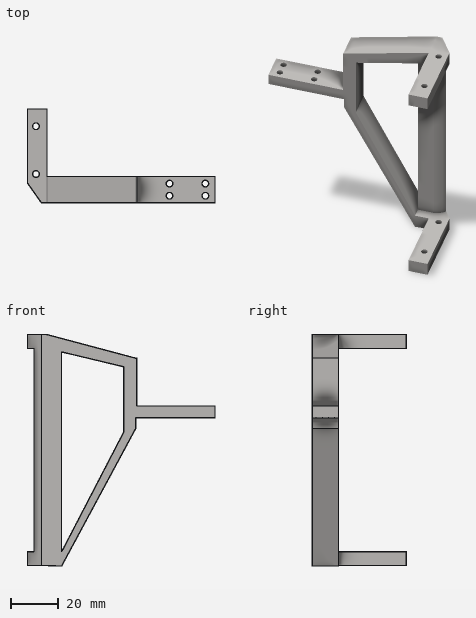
import cadquery as cq

LENGTH = 78.7
WIDTH = 39.42
HEIGHT = 97.0

ARM_WIDTH = 8.34
ARM_HEIGHT = 5.9
LOWER_ARM_Z = 0.2
UPPER_ARM_Z = HEIGHT - ARM_HEIGHT
CHAMFER_X = 5.9
CHAMFER_Y = 8.4

POST_LEFT = 2.75
POST_RIGHT = 14.4
POST_DEPTH = 7.05
POST_FLAT_LEFT = 7.4
POST_BACK_RADIUS = 6.7

FRAME_DEPTH = 11.1
FRAME_RIGHT = 45.85
FRAME_SHOULDER_Z = 87.1
FRAME_KNEE_Z = 57.75
WALL_STEP = 0.35
WINDOW_RIGHT = 40.35
WINDOW_SHOULDER_Z = 83.45
WINDOW_KNEE_Z = 56.15

SHELF_TOP_Z = 67.1
SHELF_THICKNESS = 5.0
SHELF_BOTTOM_Z = SHELF_TOP_Z - SHELF_THICKNESS

HOLE_DIAMETER = 2.7
ARM_HOLE_X = 3.65
ARM_HOLE_FIRST_Y = 12.1
ARM_HOLE_PITCH = 20.0
SHELF_HOLE_END_MARGIN = 4.15
SHELF_HOLE_PITCH_X = 15.0
SHELF_HOLE_PITCH_Y = 5.1


def chamfer_y_at(x):
    """Y of the slanted front-left face at a given X."""
    return CHAMFER_Y * (1 - x / CHAMFER_X)


def make_arm(bottom_z):
    """Bar along Y with its front-left corner cut off."""
    outline = [
        (CHAMFER_X, 0),
        (ARM_WIDTH, 0),
        (ARM_WIDTH, WIDTH),
        (0, WIDTH),
        (0, CHAMFER_Y),
    ]
    return cq.Workplane("XY").workplane(offset=bottom_z).polyline(outline).close().extrude(ARM_HEIGHT)


def make_post():
    """Upright with the arms' slanted front and a flat back that rounds off to the left."""
    back_edge_y = chamfer_y_at(POST_LEFT)
    bottom_z = LOWER_ARM_Z + ARM_HEIGHT / 2
    top_z = UPPER_ARM_Z + ARM_HEIGHT / 2
    return (
        cq.Workplane("XY")
        .workplane(offset=bottom_z)
        .moveTo(CHAMFER_X, 0)
        .lineTo(POST_RIGHT, 0)
        .lineTo(POST_RIGHT, POST_DEPTH)
        .lineTo(POST_FLAT_LEFT, POST_DEPTH)
        .radiusArc((POST_LEFT, back_edge_y), -POST_BACK_RADIUS)
        .close()
        .extrude(top_z - bottom_z)
    )


def extrude_back(outline):
    """Prism over an XZ outline, from the front face to the back of the frame."""
    return cq.Workplane("XZ").polyline(outline).close().extrude(-FRAME_DEPTH)


def make_frame():
    """Frame and shelf in one outline, with the window cut through.

    Above the shelf the wall is thicker by a thin step, which leaves a narrow flat land on top.
    """
    wall_x = FRAME_RIGHT - WALL_STEP
    outer = [
        (ARM_WIDTH, LOWER_ARM_Z),
        (POST_RIGHT, 0),
        (wall_x, FRAME_KNEE_Z),
        (wall_x, SHELF_BOTTOM_Z),
        (LENGTH, SHELF_BOTTOM_Z),
        (LENGTH, SHELF_TOP_Z),
        (FRAME_RIGHT, SHELF_TOP_Z),
        (FRAME_RIGHT, FRAME_SHOULDER_Z),
        (wall_x, FRAME_SHOULDER_Z),
        (ARM_WIDTH, HEIGHT),
    ]
    lower_arm_top_z = LOWER_ARM_Z + ARM_HEIGHT
    window = [
        (ARM_WIDTH, lower_arm_top_z),
        (POST_RIGHT, lower_arm_top_z),
        (WINDOW_RIGHT, WINDOW_KNEE_Z),
        (WINDOW_RIGHT, WINDOW_SHOULDER_Z),
        (ARM_WIDTH, UPPER_ARM_Z),
    ]
    return extrude_back(outer).cut(extrude_back(window))


def make_holes():
    """Through-hole cutters for both arms and for the shelf."""
    arm_points = [(ARM_HOLE_X, ARM_HOLE_FIRST_Y + row * ARM_HOLE_PITCH) for row in range(2)]
    first_x = LENGTH - SHELF_HOLE_END_MARGIN
    middle_y = FRAME_DEPTH / 2
    shelf_points = [
        (first_x - column * SHELF_HOLE_PITCH_X, middle_y + side * SHELF_HOLE_PITCH_Y / 2)
        for column in range(2)
        for side in (-1, 1)
    ]
    points = arm_points + shelf_points
    return cq.Workplane("XY").pushPoints(points).circle(HOLE_DIAMETER / 2).extrude(HEIGHT)


result = (
    make_frame()
    .union(make_arm(LOWER_ARM_Z))
    .union(make_arm(UPPER_ARM_Z))
    .union(make_post())
    .cut(make_holes())
)